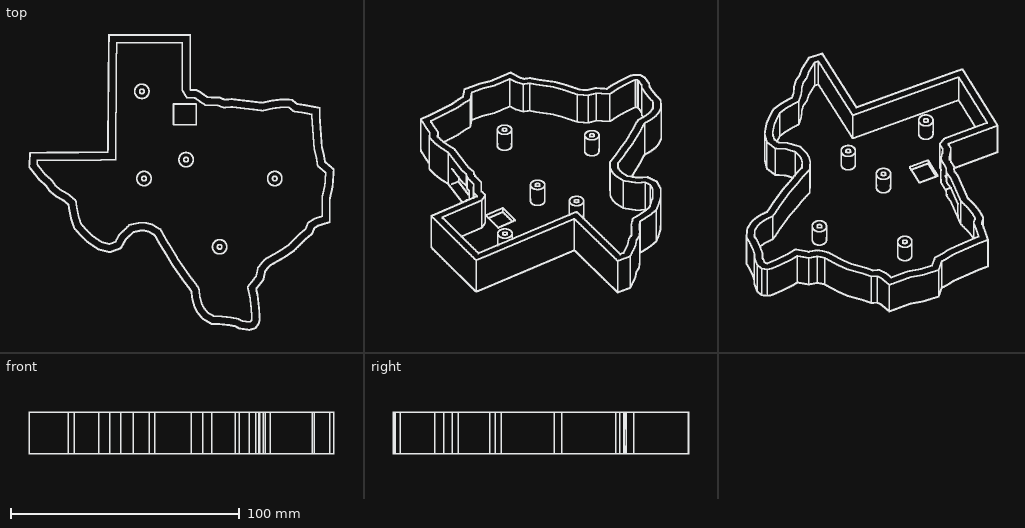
import cadquery as cq
import math

HEIGHT = 18.3
FLOOR = 2.4
WALL = 3.5

POST_DIAMETER = 6.3
POST_HOLE_DIAMETER = 2.0
POST_HEIGHT = 9.2
POST_HOLE_DEPTH = 6.7
DRILL_TIP_ANGLE = 118
POST_CENTRES = [(49.3, 104.4), (68.7, 74.5), (50.3, 66.3), (107.5, 66.3), (83.3, 36.4)]

HATCH_LEFT = 63.2
HATCH_RIGHT = 73.0
HATCH_FRONT = 89.9
HATCH_BACK = 98.8

WINDOW_LEFT = 82.4
WINDOW_RIGHT = 97.6
WINDOW_RIM_RADIUS = 1.0
WINDOW_SILL = FLOOR + WINDOW_RIM_RADIUS
WINDOW_TOP = 10.9
WINDOW_FRONT = 93.3
WINDOW_BACK = 104.0
SELECTION_MARGIN = 0.1

PANHANDLE = [(70.5, 129.0), (34.9, 129.0), (34.8, 124.7), (34.4, 77.9), (0.4, 77.6)]
RIO_GRANDE_WEST = [
    (0, 71.3), (4.5, 65.6), (7.3, 63.2), (9.0, 60.7), (11.9, 58.4), (15.2, 56.5), (17.2, 54.8),
    (17.5, 52.9), (18.4, 48.4), (19.7, 44.5), (22.1, 41.9), (25.5, 38.5), (30.4, 35.2),
    (35.3, 34.0), (40.1, 35.7),
]
RIO_GRANDE_SOUTH = [
    (42.3, 39.6), (43.0, 40.4), (44.3, 41.5), (45.6, 42.8), (48.8, 43.5), (50.4, 43.5),
    (52.5, 42.9), (53.7, 42.1), (54.9, 41.5), (57.0, 37.6), (59.9, 33.2), (62.4, 28.8),
    (65.2, 24.8), (67.7, 21.2), (70.1, 18.1), (70.9, 16.9), (71.3, 13.6), (72.3, 10.3),
    (73.5, 7.9), (75.9, 4.9), (80.0, 2.5), (83.3, 2.5), (87.3, 2.1), (90.3, 1.6), (91.9, 0.7),
    (96.4, 0),
]
GULF_COAST = [
    (99.0, 0.8), (100.5, 2.9), (100.9, 4.5), (100.7, 9.3), (100.0, 15.2), (99.3, 18.0),
    (102.5, 22.0), (103.3, 25.7), (104.3, 26.9), (105.5, 28.3), (111.6, 31.7), (115.7, 34.5),
    (120.7, 39.5), (123.9, 42.1), (124.8, 44.5), (126.4, 45.6), (131.6, 47.2),
]
EAST_BORDER = [
    (131.6, 57.5), (132.8, 62.7), (133.3, 70.3), (129.5, 73.6), (129.0, 76.3), (128.1, 80.0),
    (127.2, 92.7), (127.2, 97.2),
]
RED_RIVER = [
    (120.1, 98.5), (117.2, 98.9), (114.9, 100.8), (110.5, 100.9), (106.1, 100.4), (102.0, 99.5),
    (97.6, 100.0), (88.7, 101.0), (85.6, 100.8), (83.3, 101.7), (78.1, 101.9), (76.5, 102.9),
    (74.7, 104.3), (73.0, 105.0), (70.5, 105.0),
]
BORDER = PANHANDLE + RIO_GRANDE_WEST + RIO_GRANDE_SOUTH + GULF_COAST + EAST_BORDER + RED_RIVER

PANHANDLE_CORNER = BORDER[-1]
RELIEF_LENGTH_X = 2.0
RELIEF_LENGTH_Y = 3.2


def border_prism(height):
    return cq.Workplane("XY").polyline(BORDER).close().extrude(height)


def make_wall():
    """Ring of constant thickness that follows the border."""
    cavity = cq.Workplane("XY").polyline(BORDER).close().offset2D(-WALL, "intersection").extrude(HEIGHT)
    corner_x = PANHANDLE_CORNER[0] - WALL
    corner_y = PANHANDLE_CORNER[1] - WALL
    relief_points = [
        (corner_x, corner_y),
        (corner_x + RELIEF_LENGTH_X, corner_y),
        (corner_x, corner_y + RELIEF_LENGTH_Y),
    ]
    relief = cq.Workplane("XY").polyline(relief_points).close().extrude(HEIGHT)
    return border_prism(HEIGHT).cut(cavity).cut(relief)


def box_between(x_range, y_range, z_range):
    size = [high - low for low, high in (x_range, y_range, z_range)]
    return cq.Workplane("XY").box(*size, centered=False).translate((x_range[0], y_range[0], z_range[0]))


def cut_window(wall):
    """Pierce the north wall and round the rims of the opening on both wall faces."""
    opening = box_between(
        (WINDOW_LEFT, WINDOW_RIGHT), (WINDOW_FRONT, WINDOW_BACK), (WINDOW_SILL, WINDOW_TOP)
    )
    window_zone = cq.selectors.BoxSelector(
        (WINDOW_LEFT - SELECTION_MARGIN, WINDOW_FRONT, WINDOW_SILL - SELECTION_MARGIN),
        (WINDOW_RIGHT + SELECTION_MARGIN, WINDOW_BACK, WINDOW_TOP + SELECTION_MARGIN),
        boundingbox=True,
    )
    rims = wall.cut(opening).edges(window_zone).edges("not |Y")
    return rims.fillet(WINDOW_RIM_RADIUS)


def make_floor():
    hatch = box_between((HATCH_LEFT, HATCH_RIGHT), (HATCH_FRONT, HATCH_BACK), (0, FLOOR))
    return border_prism(FLOOR).cut(hatch)


def make_post(centre):
    """Cylinder with a blind hole in its top, ending in a conical drill tip."""
    hole_radius = POST_HOLE_DIAMETER / 2
    tip_depth = hole_radius / math.tan(math.radians(DRILL_TIP_ANGLE / 2))
    hole_bottom = POST_HEIGHT - POST_HOLE_DEPTH
    half_section = [
        (0, 0),
        (POST_DIAMETER / 2, 0),
        (POST_DIAMETER / 2, POST_HEIGHT),
        (hole_radius, POST_HEIGHT),
        (hole_radius, hole_bottom),
        (0, hole_bottom - tip_depth),
    ]
    post = cq.Workplane("XZ").polyline(half_section).close().revolve(360, (0, 0), (0, 1))
    return post.translate((*centre, FLOOR))


result = cut_window(make_wall()).union(make_floor())
for post_centre in POST_CENTRES:
    result = result.union(make_post(post_centre))